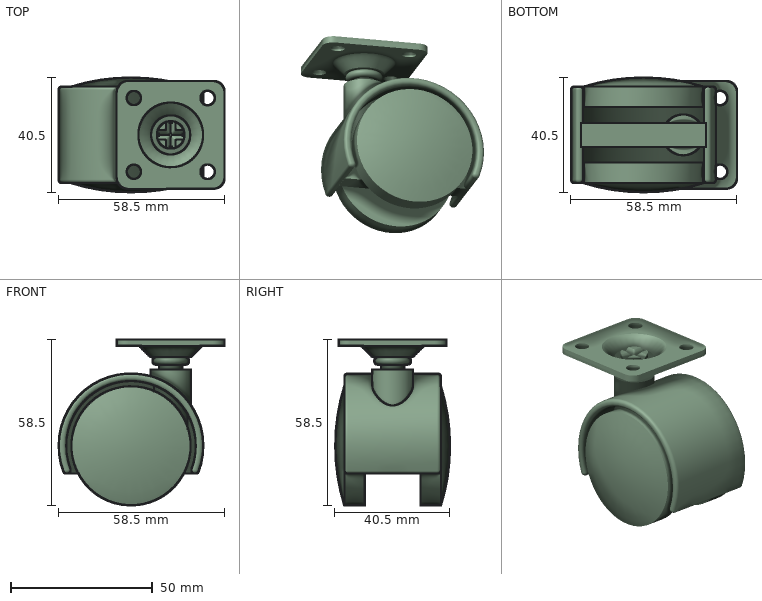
import cadquery as cq
import math


wheel_radius = 21.0
wheel_inner_y = 9.75
wheel_edge_y = 17.0
wheel_tip_y = 20.25

hood_radius = 25.5
hood_thickness = 2.7
hood_rounding = 1.2
hood_half_width = wheel_edge_y
hood_bottom_z = -9.8
web_half_thickness = 4.2
boss_radius = 7.2
boss_top_z = 26.9
boss_bottom_z = 0.0

total_height = 58.5
plate_side = 38.0
plate_thickness = 2.35
plate_corner_radius = 4.0
screw_hole_diameter = 5.05
screw_hole_spacing = 26.0
dish_rim_radius = 11.4
dish_floor_radius = 6.9
dish_depth = 3.75
cone_top_radius = 11.05
cone_bottom_radius = 7.1
cone_bottom_depth = 6.25

pin_x = 14.0
neck_radius = 4.15
collar_radius = 6.5
collar_height = 2.7
head_radius = 4.85
head_height = 1.65
cross_rounding = 0.9

plate_top_z = total_height - wheel_radius
plate_bottom_z = plate_top_z - plate_thickness
dish_floor_z = plate_top_z - dish_depth
cone_bottom_z = plate_top_z - cone_bottom_depth


def make_wheel(side):
    """Wheel on the +Y (side = 1) or -Y (side = -1) flank, with a spherical dome outside."""
    dome_height = wheel_tip_y - wheel_edge_y
    sphere_radius = (wheel_radius**2 + dome_height**2) / (2 * dome_height)
    half_angle = math.asin(wheel_radius / sphere_radius) / 2
    dome_middle = (
        sphere_radius * math.sin(half_angle),
        side * (wheel_tip_y - sphere_radius * (1 - math.cos(half_angle))),
    )
    return (
        cq.Workplane("XY")
        .moveTo(0, side * wheel_inner_y)
        .lineTo(wheel_radius, side * wheel_inner_y)
        .lineTo(wheel_radius, side * wheel_edge_y)
        .threePointArc(dome_middle, (0, side * wheel_tip_y))
        .close()
        .revolve(360, (0, 0, 0), (0, 1, 0))
    )


def disc_above_hood_bottom(radius, half_width):
    """Disc about the wheel axis, cut off flat at the bottom of the hood."""
    disc = cq.Workplane("XZ").circle(radius).extrude(half_width, both=True)
    keep = cq.Workplane("XY", origin=(0, 0, hood_bottom_z)).rect(4 * radius, 4 * radius).extrude(2 * radius)
    return disc.intersect(keep)


def make_housing():
    """Arched hood with rounded edges, a central web and the upright boss for the pin."""
    inner_radius = hood_radius - hood_thickness
    bore = cq.Workplane("XZ").circle(inner_radius).extrude(hood_half_width, both=True)
    hood = disc_above_hood_bottom(hood_radius, hood_half_width).cut(bore)
    hood = hood.edges().fillet(hood_rounding)

    web = disc_above_hood_bottom(hood_radius - hood_thickness / 2, web_half_thickness)
    boss = (
        cq.Workplane("XY", origin=(pin_x, 0, boss_bottom_z))
        .circle(boss_radius)
        .extrude(boss_top_z - boss_bottom_z)
    )
    return hood.union(web).union(boss)


def make_plate():
    """Square plate with four screw holes and a conical dish pierced by the pin."""
    plate = (
        cq.Workplane("XY", origin=(pin_x, 0, plate_bottom_z))
        .rect(plate_side, plate_side)
        .extrude(plate_thickness)
        .edges("|Z")
        .fillet(plate_corner_radius)
        .faces(">Z")
        .workplane()
        .rect(screw_hole_spacing, screw_hole_spacing, forConstruction=True)
        .vertices()
        .hole(screw_hole_diameter)
    )
    cone = truncated_cone(plate_bottom_z, cone_top_radius, cone_bottom_z, cone_bottom_radius)
    dish = truncated_cone(plate_top_z, dish_rim_radius, dish_floor_z, dish_floor_radius)
    pin_hole = truncated_cone(dish_floor_z, neck_radius, cone_bottom_z, neck_radius)
    return plate.union(cone).cut(dish).cut(pin_hole)


def truncated_cone(top_z, top_radius, bottom_z, bottom_radius):
    """Cone about the pin axis between two heights."""
    return (
        cq.Workplane("XZ", origin=(pin_x, 0, 0))
        .moveTo(0, bottom_z)
        .lineTo(bottom_radius, bottom_z)
        .lineTo(top_radius, top_z)
        .lineTo(0, top_z)
        .close()
        .revolve(360, (0, 0, 0), (0, 1, 0))
    )


def make_cross_grooves(head_top_z):
    """Cutter for two crossing V grooves with 45 degree sides, reaching down to the dish floor."""
    profile = [
        (-head_height, head_top_z),
        (head_height, head_top_z),
        (0, dish_floor_z),
    ]
    along_y = cq.Workplane("XZ", origin=(pin_x, 0, 0)).polyline(profile).close()
    along_x = cq.Workplane("YZ", origin=(pin_x, 0, 0)).polyline(profile).close()
    return along_y.extrude(head_radius, both=True).union(along_x.extrude(head_radius, both=True))


def make_pin():
    """Pin standing on the boss, with a round collar under the plate and a cross-grooved head."""
    collar_bottom_z = cone_bottom_z - collar_height
    collar_middle = (collar_radius, cone_bottom_z - collar_height / 2)
    collar_flat_radius = collar_radius - collar_height / 2
    head_top_z = dish_floor_z + head_height
    pin = (
        cq.Workplane("XZ", origin=(pin_x, 0, 0))
        .moveTo(0, boss_top_z)
        .lineTo(neck_radius, boss_top_z)
        .lineTo(neck_radius, collar_bottom_z)
        .lineTo(collar_flat_radius, collar_bottom_z)
        .threePointArc(collar_middle, (collar_flat_radius, cone_bottom_z))
        .lineTo(neck_radius, cone_bottom_z)
        .lineTo(neck_radius, dish_floor_z)
        .lineTo(head_radius, dish_floor_z)
        .lineTo(head_radius, head_top_z)
        .lineTo(0, head_top_z)
        .close()
        .revolve(360, (0, 0, 0), (0, 1, 0))
    )
    pin = pin.cut(make_cross_grooves(head_top_z))
    cross_corners = cq.selectors.BoxSelector(
        (pin_x - head_height, -head_height, dish_floor_z),
        (pin_x + head_height, head_height, head_top_z),
    )
    ridges = pin.edges(cross_corners).edges("not(#X or #Y)")
    return ridges.fillet(cross_rounding)


wheels = [make_wheel(side) for side in (-1, 1)]
housing = make_housing()
plate = make_plate()
pin = make_pin()

result = cq.Compound.makeCompound(
    [housing.val(), plate.val(), pin.val(), *[wheel.val() for wheel in wheels]]
)